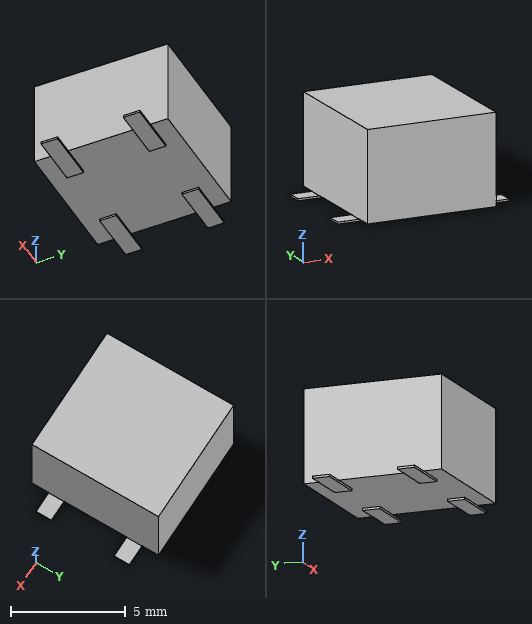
import cadquery as cq

overall_length = 8.3
overall_width = 6.5
overall_height = 4.4

lead_thickness = 0.1
lead_length = 2.55
lead_width = 0.805
lead_pitch = 4.0

housing_length = 6.22
housing_height = overall_height - lead_thickness


def make_housing():
    """Plain rectangular block whose underside sits on top of the leads."""
    return (
        cq.Workplane("XY")
        .workplane(offset=lead_thickness)
        .rect(housing_length, overall_width)
        .extrude(housing_height)
    )


def make_lead(side, row):
    """Flat strip under the housing; side picks the X end and row the Y position (each -1 or +1)."""
    center_x = side * (overall_length - lead_length) / 2
    center_y = row * lead_pitch / 2
    return (
        cq.Workplane("XY")
        .center(center_x, center_y)
        .rect(lead_length, lead_width)
        .extrude(lead_thickness)
    )


housing = make_housing()
leads = [make_lead(side, row) for side in (-1, 1) for row in (-1, 1)]

result = cq.Compound.makeCompound([housing.val(), *[lead.val() for lead in leads]])